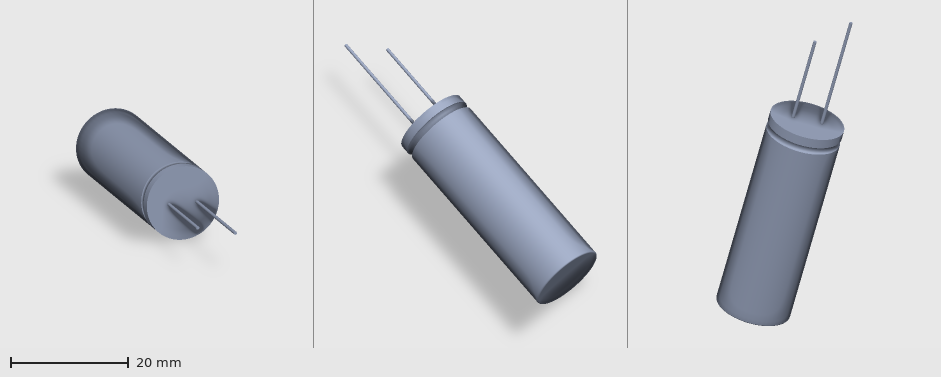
import cadquery as cq

body_diameter = 13.0
body_length = 37.0
total_length = 57.0
end_fillet = 0.2
groove_radius = 0.6
groove_position = 34.7
lead_diameter = 0.55
lead_pitch = 5.0
lead_length_difference = 5.0

body_radius = body_diameter / 2
long_lead_length = total_length - body_length
short_lead_length = long_lead_length - lead_length_difference


def make_groove_cutter():
    """Ring of round section that cuts the crimp groove, centred on the body's outer surface."""
    return cq.Workplane("XY").add(
        cq.Solid.makeTorus(
            body_radius, groove_radius, cq.Vector(groove_position, 0, 0), cq.Vector(1, 0, 0)
        )
    )


def make_cylinder(start, length, diameter, y_position=0):
    """Round bar along X."""
    return cq.Workplane("YZ", origin=(start, y_position, 0)).circle(diameter / 2).extrude(length)


def make_can():
    """Main can: rounded closed end, and half of the groove at the other end."""
    can = make_cylinder(0, groove_position, body_diameter)
    can = can.faces("<X").edges().fillet(end_fillet)
    return can.cut(make_groove_cutter())


def make_end_cap():
    """Cap that carries the leads and meets the can on the middle plane of the groove."""
    cap = make_cylinder(groove_position, body_length - groove_position, body_diameter)
    return cap.cut(make_groove_cutter())


def make_lead(y_position, length):
    """Straight round wire that starts on the flat outer face of the end cap."""
    return make_cylinder(body_length, length, lead_diameter, y_position)


can = make_can()
end_cap = make_end_cap()

leads = []
for side, length in ((1, long_lead_length), (-1, short_lead_length)):
    leads.append(make_lead(side * lead_pitch / 2, length).val())

result = cq.Compound.makeCompound([can.solids().val(), end_cap.solids().val(), *leads])